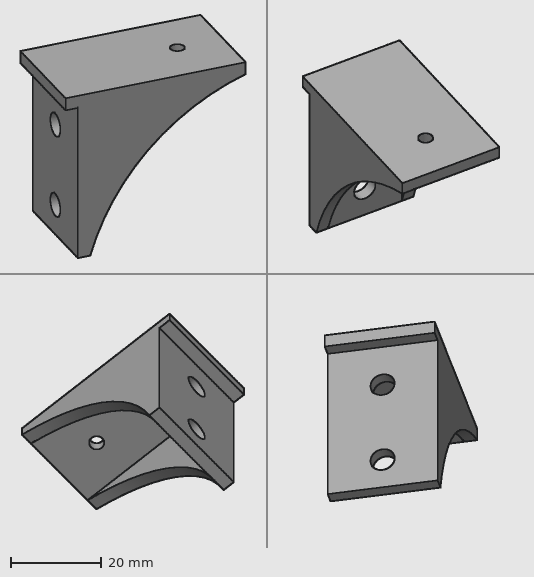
import cadquery as cq
import math

width = 25.0
depth = 43.6
height = 40.5

plate_thickness = 3.0
web_thickness = 3.0
lip_overhang = 3.0
arc_bulge = 6.7

wall_hole_diameter = 5.5
upper_wall_hole_drop = 13.1
wall_hole_spacing = 20.0
shelf_hole_diameter = 3.3
shelf_hole_from_back = 11.07


def bracket_body():
    """Outer block of shelf, wall and webs with a concave arc underneath."""
    foot_y = lip_overhang + plate_thickness
    chord_y = depth - foot_y
    chord_z = height - plate_thickness
    chord = math.hypot(chord_y, chord_z)
    arc_middle = (
        (foot_y + depth) / 2 - arc_bulge * chord_z / chord,
        -(height + plate_thickness) / 2 + arc_bulge * chord_y / chord,
    )
    return (
        cq.Workplane("YZ")
        .moveTo(0, 0)
        .lineTo(depth, 0)
        .lineTo(depth, -plate_thickness)
        .threePointArc(arc_middle, (foot_y, -height))
        .lineTo(lip_overhang, -height)
        .lineTo(lip_overhang, -plate_thickness)
        .lineTo(0, -plate_thickness)
        .close()
        .extrude(width / 2, both=True)
    )


def web_pocket():
    """Space between the two webs, behind the wall and under the shelf."""
    return cq.Workplane("XY").box(
        width - 2 * web_thickness,
        depth,
        height,
        centered=(True, False, False),
    ).translate((0, lip_overhang + plate_thickness, -plate_thickness - height))


def wall_holes():
    """Two horizontal through holes, one above the other."""
    lower_wall_hole_drop = upper_wall_hole_drop + wall_hole_spacing
    return (
        cq.Workplane("XZ")
        .pushPoints([(0, -upper_wall_hole_drop), (0, -lower_wall_hole_drop)])
        .circle(wall_hole_diameter / 2)
        .extrude(-depth)
    )


def shelf_hole():
    """Vertical through hole near the back of the shelf."""
    return (
        cq.Workplane("XY")
        .center(0, depth - shelf_hole_from_back)
        .circle(shelf_hole_diameter / 2)
        .extrude(-height)
    )


result = bracket_body().cut(web_pocket()).cut(wall_holes()).cut(shelf_hole())